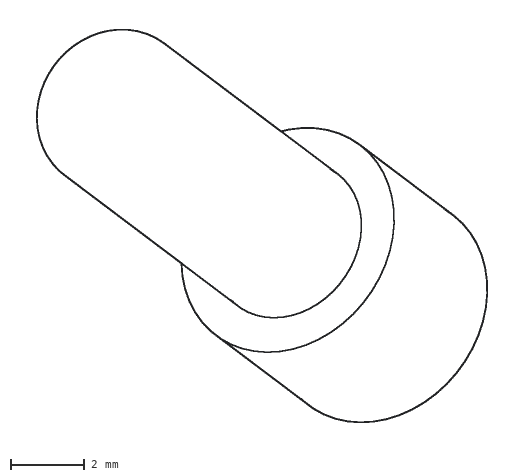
import cadquery as cq
import math

overall_extent = 15.49
head_diameter = 6.5
head_length = 5.59
shank_diameter = 4.5
tip_radius = 1.0
tilt_angle = 45.0

head_radius = head_diameter / 2
tip_flat_radius = shank_diameter / 2 - tip_radius
sin_tilt = math.sin(math.radians(tilt_angle))
cos_tilt = math.cos(math.radians(tilt_angle))
rim_reach = head_radius * sin_tilt
tip_reach = overall_extent - rim_reach - tip_radius
total_length = (tip_reach - tip_flat_radius * sin_tilt) / cos_tilt + tip_radius
shank_length = total_length - head_length


def make_head():
    return cq.Workplane("XY").circle(head_radius).extrude(head_length)


def make_shank():
    shank = cq.Workplane("XY").workplane(offset=head_length).circle(shank_diameter / 2).extrude(shank_length)
    return shank.faces(">Z").edges().fillet(tip_radius)


upright_pin = make_head().union(make_shank())
result = upright_pin.rotate((0, 0, 0), (1, 0, 0), tilt_angle)